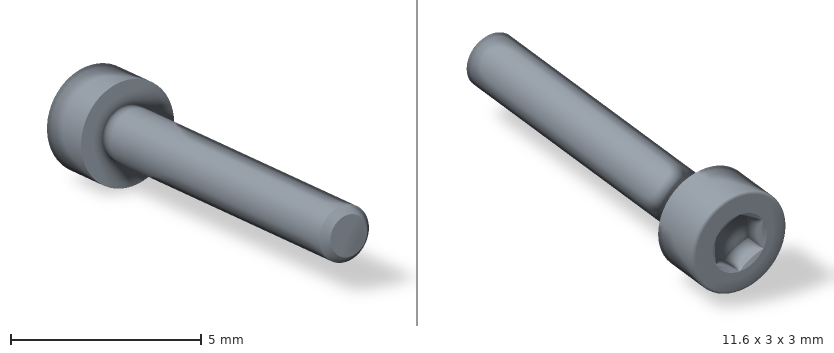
import cadquery as cq
import math

total_length = 11.6
head_diameter = 3.0
head_height = 1.6
head_edge_fillet = 0.08
shank_diameter = 1.6
plain_shank_length = 1.04
tip_chamfer = 0.21

hex_across_flats = 1.51
hex_across_corners = hex_across_flats / math.cos(math.pi / 6)
socket_depth = 0.7
floor_cone_angle = 120.0
mouth_cone_angle = 120.0

head_face_x = -total_length / 2
head_bottom_x = head_face_x + head_height


def make_head():
    head = cq.Workplane("YZ", origin=(head_face_x, 0, 0)).circle(head_diameter / 2).extrude(head_height)
    return head.faces("<X").edges().fillet(head_edge_fillet)


def make_cylinder(start_x, length):
    return cq.Workplane("YZ", origin=(start_x, 0, 0)).circle(shank_diameter / 2).extrude(length)


def make_shank():
    thread_start_x = head_bottom_x + plain_shank_length
    thread_length = total_length / 2 - thread_start_x
    plain = make_cylinder(head_bottom_x, plain_shank_length)
    thread = make_cylinder(thread_start_x, thread_length).faces(">X").chamfer(tip_chamfer)
    return plain.union(thread, clean=False)


def make_cone(start_x, included_angle):
    """Cone narrowing towards +X, as wide at its base as the hexagon corners."""
    radius = hex_across_corners / 2
    height = radius / math.tan(math.radians(included_angle / 2))
    return cq.Workplane(cq.Solid.makeCone(radius, 0, height, cq.Vector(start_x, 0, 0), cq.Vector(1, 0, 0)))


def make_socket():
    hexagon = (
        cq.Workplane("YZ", origin=(head_face_x, 0, 0))
        .transformed(rotate=(0, 0, 90))
        .polygon(6, hex_across_corners)
        .extrude(head_height)
    )
    drill = (
        cq.Workplane("YZ", origin=(head_face_x, 0, 0))
        .circle(hex_across_corners / 2)
        .extrude(socket_depth)
        .union(make_cone(head_face_x + socket_depth, floor_cone_angle))
    )
    return hexagon.intersect(drill).union(make_cone(head_face_x, mouth_cone_angle))


result = make_head().union(make_shank(), clean=False).cut(make_socket(), clean=False)